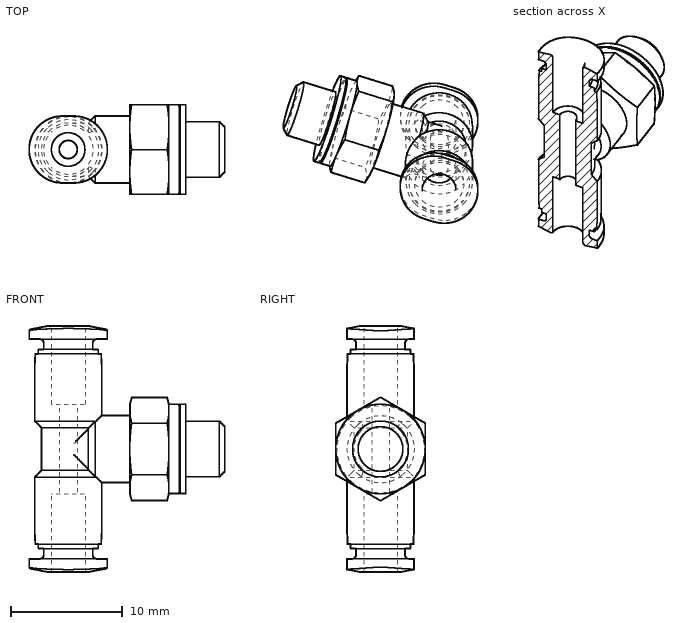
import cadquery as cq
import math


run_half_length = 11.0
core_radius = 2.4
body_radius = 3.0
core_shoulder = body_radius - core_radius
core_half_length = 1.9
sleeve_taper_start = 7.5
sleeve_end = 8.5
sleeve_end_radius = 2.95
collar_radius = 2.7
collar_end = 8.9
collar_fillet = 0.12
neck_radius = 2.2
neck_fillet = 0.35

ring_thickness = 1.2
ring_base = run_half_length - ring_thickness
ring_radius = 3.0
ring_stretch = 0.5
ring_reach = ring_radius + ring_stretch
ring_rim_fillet = 0.25
ring_blank_radius = ring_reach + 0.02
crown_radius = 1.8
crown_angle = 11.0

tube_radius = 1.5
tube_depth = 7.0
passage_radius = 0.8
mouth_fillet = crown_radius - tube_radius

branch_step = 1.8
hex_start = 5.5
hex_end = 9.0
hex_sides = 6
hex_across_flats = 8.0
hex_bevel_angle = 15.0
washer_radius = 4.0
groove_start = 9.9
groove_end = 10.0
groove_depth = 0.1
washer_end = 10.5
stem_radius = 2.5
stem_end = 14.0
stem_chamfer = 0.5


def revolve_about_z(profile):
    return profile.close().revolve(360, (0, 0, 0), (0, 1, 0))


def revolve_about_x(profile):
    return profile.close().revolve(360, (0, 0, 0), (1, 0, 0))


def run_body_half():
    """Upper half of the run, from the centre up to the underside of the ring."""
    profile = (
        cq.Workplane("XZ")
        .lineTo(core_radius, 0)
        .lineTo(core_radius, core_half_length)
        .lineTo(body_radius, core_half_length + core_shoulder)
        .lineTo(body_radius, sleeve_taper_start)
        .lineTo(sleeve_end_radius, sleeve_end)
        .lineTo(collar_radius, sleeve_end)
        .lineTo(collar_radius, collar_end - collar_fillet)
        .radiusArc((collar_radius - collar_fillet, collar_end), -collar_fillet)
        .lineTo(neck_radius, collar_end)
        .lineTo(neck_radius, ring_base - neck_fillet)
        .radiusArc((neck_radius + neck_fillet, ring_base), neck_fillet)
        .lineTo(0, ring_base)
    )
    return revolve_about_z(profile)


def release_ring():
    """Slot-shaped ring with a sloped top and a rounded rim."""
    crown_drop = (ring_blank_radius - crown_radius) * math.tan(math.radians(crown_angle))
    blank = revolve_about_z(
        cq.Workplane("XZ")
        .moveTo(0, ring_base)
        .lineTo(ring_blank_radius, ring_base)
        .lineTo(ring_blank_radius, run_half_length - crown_drop)
        .lineTo(crown_radius, run_half_length)
        .lineTo(0, run_half_length)
    )
    blank = blank.edges(cq.selectors.RadiusNthSelector(-1)).edges(">Z").fillet(ring_rim_fillet)
    outline = (
        cq.Workplane("XY", origin=(0, 0, ring_base))
        .slot2D(2 * ring_reach, 2 * ring_radius)
        .extrude(ring_thickness)
    )
    return blank.intersect(outline)


def tube_bore():
    """Tube socket with a rounded mouth, open at the top of the run."""
    profile = (
        cq.Workplane("XZ")
        .moveTo(0, run_half_length - tube_depth)
        .lineTo(tube_radius, run_half_length - tube_depth)
        .lineTo(tube_radius, run_half_length - mouth_fillet)
        .radiusArc((crown_radius, run_half_length), mouth_fillet)
        .lineTo(0, run_half_length)
    )
    return revolve_about_z(profile)


def branch_body():
    """Slim root, thick sleeve, grooved washer and chamfered stem along X."""
    groove_radius = washer_radius - groove_depth
    profile = (
        cq.Workplane("XZ")
        .lineTo(0, core_radius)
        .lineTo(branch_step, core_radius)
        .lineTo(branch_step + core_shoulder, body_radius)
        .lineTo(hex_end, body_radius)
        .lineTo(hex_end, washer_radius)
        .lineTo(groove_start, washer_radius)
        .lineTo(groove_start, groove_radius)
        .lineTo(groove_end, groove_radius)
        .lineTo(groove_end, washer_radius)
        .lineTo(washer_end, washer_radius)
        .lineTo(washer_end, stem_radius)
        .lineTo(stem_end - stem_chamfer, stem_radius)
        .lineTo(stem_end, stem_radius - stem_chamfer)
        .lineTo(stem_end, 0)
    )
    return revolve_about_x(profile)


def hex_nut():
    """Hexagon with flats facing +Y and -Y, its corners bevelled at both ends."""
    flat_radius = hex_across_flats / 2
    corner_radius = flat_radius / math.cos(math.pi / hex_sides)
    bevel = (corner_radius - flat_radius) * math.tan(math.radians(hex_bevel_angle))
    prism = (
        cq.Workplane("YZ", origin=(hex_start, 0, 0))
        .transformed(rotate=(0, 0, 90))
        .polygon(hex_sides, 2 * corner_radius)
        .extrude(hex_end - hex_start)
    )
    envelope = revolve_about_x(
        cq.Workplane("XZ")
        .moveTo(hex_start, 0)
        .lineTo(hex_start, flat_radius)
        .lineTo(hex_start + bevel, corner_radius)
        .lineTo(hex_end - bevel, corner_radius)
        .lineTo(hex_end, flat_radius)
        .lineTo(hex_end, 0)
    )
    return prism.intersect(envelope)


def with_mirror(half):
    return half.union(half.mirror("XY"))


run = with_mirror(run_body_half().union(release_ring()))
bores = with_mirror(tube_bore())
passage = cq.Workplane("XY").circle(passage_radius).extrude(run_half_length, both=True)

result = run.union(branch_body()).union(hex_nut()).cut(bores).cut(passage)